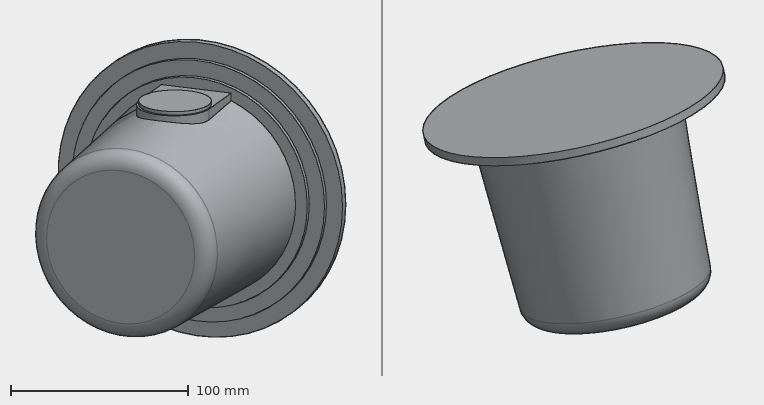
import cadquery as cq
import math

FLANGE_STEPS = [(173.0, 5.0), (153.5, 8.0), (135.0, 11.0)]

TOTAL_DEPTH = 123.0
CUP_DRAFT_DEG = 3.0
CUP_END_DIAMETER = 109.0
CUP_END_FILLET = 10.0

PAD_WIDTH = 42.5
PAD_CENTER_DEPTH = 43.6
PAD_TOP_HEIGHT = 61.0

DISC_DIAMETER = 41.0
DISC_CENTER_DEPTH = 42.5
DISC_TOP_HEIGHT = 63.0


def make_flange():
    """Stack of concentric discs, each running from the back plane to its front face."""
    flange = None
    for diameter, front_depth in FLANGE_STEPS:
        disc = cq.Workplane("XZ").circle(diameter / 2).extrude(front_depth)
        flange = disc if flange is None else flange.union(disc)
    return flange


def make_cup():
    """Solid drafted cup revolved about the Y axis, with a rounded closed end."""
    end_radius = CUP_END_DIAMETER / 2
    back_radius = end_radius + TOTAL_DEPTH * math.tan(math.radians(CUP_DRAFT_DEG))
    cup = (
        cq.Workplane("YZ")
        .polyline([(0, 0), (0, back_radius), (-TOTAL_DEPTH, end_radius), (-TOTAL_DEPTH, 0)])
        .close()
        .revolve(360, (0, 0, 0), (1, 0, 0))
    )
    return cup.faces("<Y").edges().fillet(CUP_END_FILLET)


def make_pad():
    """Pad from the flange to its round end, rising from inside the cup to a flat top."""
    half_width = PAD_WIDTH / 2
    return (
        cq.Workplane("XY")
        .moveTo(-half_width, 0)
        .lineTo(-half_width, -PAD_CENTER_DEPTH)
        .threePointArc((0, -PAD_CENTER_DEPTH - half_width), (half_width, -PAD_CENTER_DEPTH))
        .lineTo(half_width, 0)
        .close()
        .extrude(PAD_TOP_HEIGHT)
    )


def make_disc():
    """Round disc standing slightly above the pad."""
    return (
        cq.Workplane("XY")
        .center(0, -DISC_CENTER_DEPTH)
        .circle(DISC_DIAMETER / 2)
        .extrude(DISC_TOP_HEIGHT)
    )


result = make_flange().union(make_cup()).union(make_pad()).union(make_disc())